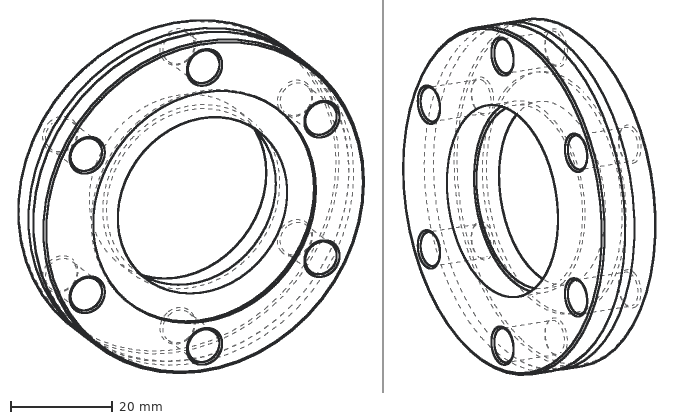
import cadquery as cq
import math

outer_diameter = 69.5
thickness = 13.0
rim_chamfer = 0.4

counterbore_diameter = 38.35
bore_diameter = 36.7
counterbore_depth = 6.5

recess_diameter = 48.3
recess_depth = 1.0

groove_width = 2.2
groove_depth = 0.4

bolt_count = 6
bolt_circle_diameter = 58.7
bolt_hole_diameter = 6.8
bolt_hole_chamfer = 0.4

outer_radius = outer_diameter / 2
half_thickness = thickness / 2
left_face = -half_thickness


def disc(diameter, length, start):
    """Cylinder along +X, beginning at X = start."""
    return cq.Workplane("YZ", origin=(start, 0, 0)).circle(diameter / 2).extrude(length)


def rim_groove():
    """Ring with a circular-arc floor, removed from the rim."""
    half_width = groove_width / 2
    return (
        cq.Workplane("XY")
        .moveTo(-half_width, outer_radius)
        .threePointArc((0, outer_radius - groove_depth), (half_width, outer_radius))
        .close()
        .revolve(360, (0, 0, 0), (1, 0, 0))
    )


def bolt_hole(angle):
    """Through hole with both mouths chamfered, at an angle from +Y towards +Z."""
    y = bolt_circle_diameter / 2 * math.cos(angle)
    z = bolt_circle_diameter / 2 * math.sin(angle)
    radius = bolt_hole_diameter / 2
    mouth_radius = radius + bolt_hole_chamfer
    profile = [
        (-half_thickness, 0),
        (-half_thickness, mouth_radius),
        (-half_thickness + bolt_hole_chamfer, radius),
        (half_thickness - bolt_hole_chamfer, radius),
        (half_thickness, mouth_radius),
        (half_thickness, 0),
    ]
    cutter = cq.Workplane("XY").polyline(profile).close().revolve(360, (0, 0, 0), (1, 0, 0))
    return cutter.translate((0, y, z))


result = disc(outer_diameter, thickness, left_face).edges().chamfer(rim_chamfer)
result = result.cut(disc(bore_diameter, thickness, left_face))
result = result.cut(disc(counterbore_diameter, counterbore_depth, left_face))
result = result.cut(disc(recess_diameter, recess_depth, half_thickness - recess_depth))
result = result.cut(rim_groove())
for index in range(bolt_count):
    result = result.cut(bolt_hole(math.pi / 2 + index * 2 * math.pi / bolt_count))